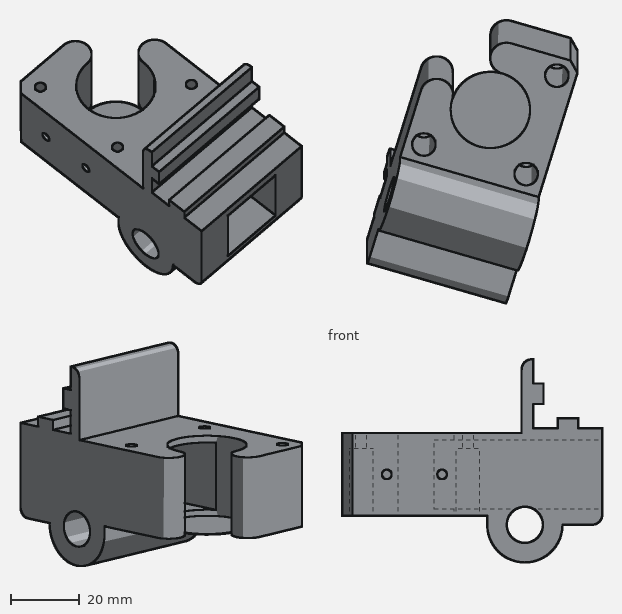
import cadquery as cq
import math

length = 75.5
width = 42.0
height = 59.0
mid_y = width / 2

edge_size = 3.0

pivot_x = 53.0
pivot_radius = 10.95
pivot_z = pivot_radius
pivot_hole_diameter = 10.4

rail_size = 20.0
seat_x = length - rail_size
seat_z = height - rail_size
plate_thickness = 3.5
plate_x = seat_x - plate_thickness
key_width = 6.05
key_height = 2.95
key_margin = (rail_size - key_width) / 2

tunnel_size = rail_size
tunnel_wall = 2.05
block_height = tunnel_size + 2 * tunnel_wall
block_bottom = 13.5
block_top = block_bottom + block_height
block_mid_z = block_bottom + block_height / 2

bore_radius = 23.0 / 2
finger_radius = (mid_y - bore_radius) / 2
bore_x = 2 * finger_radius + bore_radius
bore_floor_thickness = 0.2

screw_offset = 15.5
screw_diameter = 3.2
screw_head_diameter = 6.8
screw_head_seat = 4.5

side_hole_offset = 8.0
side_hole_diameter = 2.8
side_hole_depth = 8.0


def side_profile():
    """Outline in XZ, carried across the full width."""
    corner_mid = edge_size * (1 - math.sqrt(0.5))
    return (
        cq.Workplane("XZ", origin=(0, width, 0))
        .moveTo(0, block_bottom)
        .lineTo(pivot_x - pivot_radius, block_bottom)
        .lineTo(pivot_x - pivot_radius, pivot_z)
        .threePointArc((pivot_x, pivot_z - pivot_radius), (pivot_x + pivot_radius, pivot_z))
        .lineTo(length - edge_size, pivot_z)
        .threePointArc((length - corner_mid, pivot_z + corner_mid), (length, pivot_z + edge_size))
        .lineTo(length, seat_z)
        .lineTo(seat_x, seat_z)
        .lineTo(seat_x, height)
        .lineTo(plate_x + edge_size, height)
        .threePointArc((plate_x + corner_mid, height - corner_mid), (plate_x, height - edge_size))
        .lineTo(plate_x, block_top)
        .lineTo(0, block_top)
        .close()
        .extrude(width)
    )


def plan_outline():
    """Outline in XY: chamfered corner, two round fingers and the open side of the bore."""
    bore_diagonal = bore_radius * math.sqrt(0.5)
    return (
        cq.Workplane("XY")
        .moveTo(edge_size, 0)
        .lineTo(length, 0)
        .lineTo(length, width)
        .lineTo(bore_x, width)
        .threePointArc(
            (bore_x - finger_radius, width - finger_radius),
            (bore_x, width - 2 * finger_radius),
        )
        .threePointArc(
            (bore_x + bore_diagonal, mid_y - bore_diagonal),
            (bore_x - bore_radius, mid_y),
        )
        .threePointArc((finger_radius, mid_y + finger_radius), (0, mid_y))
        .lineTo(0, edge_size)
        .close()
        .extrude(height)
    )


def box_from(corner, size):
    """Box with its lowest corner at the given point."""
    return cq.Workplane("XY", origin=corner).box(*size, centered=False)


def y_hole(x, z, diameter, depth):
    """Cylinder running from the -Y side into the part."""
    return cq.Workplane("XZ", origin=(x, 0, z)).circle(diameter / 2).extrude(-depth)


def z_cylinder(x, y, bottom, diameter, depth):
    """Cylinder standing on the given height."""
    return cq.Workplane("XY", origin=(x, y, bottom)).circle(diameter / 2).extrude(depth)


body = side_profile().intersect(plan_outline())

upright_key = box_from((seat_x, 0, seat_z + key_margin), (key_height, width, key_width))
flat_key = box_from((seat_x + key_margin, 0, seat_z), (key_width, width, key_height))
body = body.union(upright_key).union(flat_key)

tunnel = box_from(
    (bore_x, mid_y - tunnel_size / 2, block_mid_z - tunnel_size / 2),
    (length - bore_x, tunnel_size, tunnel_size),
)
body = body.cut(tunnel)

body = body.cut(y_hole(pivot_x, pivot_z, pivot_hole_diameter, width))

for x_side, y_side in ((-1, -1), (1, -1), (1, 1)):
    screw_x = bore_x + x_side * screw_offset
    screw_y = mid_y + y_side * screw_offset
    recess_depth = block_height - screw_head_seat
    body = body.cut(z_cylinder(screw_x, screw_y, block_bottom, screw_diameter, block_height))
    body = body.cut(z_cylinder(screw_x, screw_y, block_bottom, screw_head_diameter, recess_depth))

for x_side in (-1, 1):
    hole_x = bore_x + x_side * side_hole_offset
    body = body.cut(y_hole(hole_x, block_mid_z, side_hole_diameter, side_hole_depth))

bore_floor = z_cylinder(bore_x, mid_y, block_bottom, 2 * bore_radius, bore_floor_thickness)

result = body.union(bore_floor)